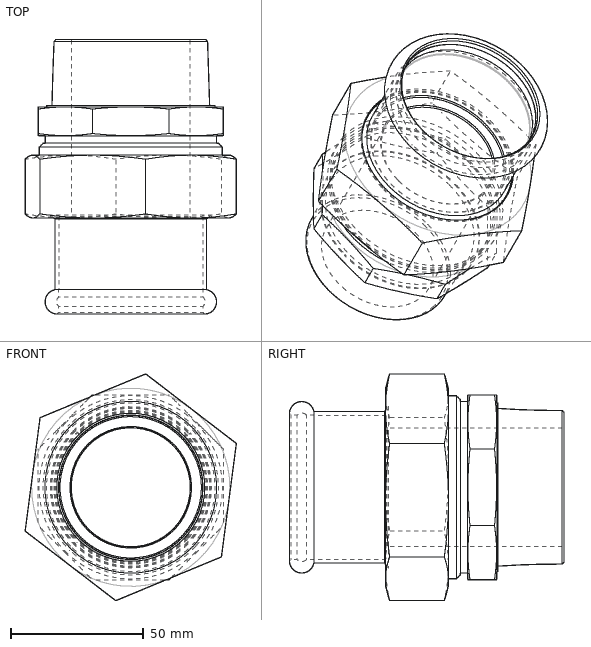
import cadquery as cq
import math

TOTAL_LENGTH = 104.0

TUBE_DIA = 57.5
BEAD_DIA = 65.0
BEAD_WIDTH = 9.4
SOCKET_DIA = 54.5
SOCKET_ENTRY_DIA = 54.7
SOCKET_DEPTH = 36.5
SOCKET_CORNER = 0.5
MOUTH_DIA = 56.0
MOUTH_LENGTH = 0.7
GROOVE_DIA = 56.2
GROOVE_START = 3.0
GROOVE_END = 6.5
ENTRY_END = 9.0
ENTRY_TAPER_LENGTH = 0.5

NUT_FLATS = 75.0
NUT_START = 36.4
NUT_WIDTH = 23.8
NUT_TURN = 22.5
NUT_CHAMFER_DIA = NUT_FLATS
NUT_CHAMFER_ANGLE = 15.0
NUT_HOLE_DIA = 61.0

FLARE_START = 36.0
FLARE_DIA = 60.4

RING_DIA = 69.4
RING_END = 64.7
RING_CHAMFER = 1.5
NECK_DIA = 65.0

OCTAGON_FLATS = 70.0
OCTAGON_START = 67.5
OCTAGON_WIDTH = 11.0
OCTAGON_TURN = 22.5
OCTAGON_CHAMFER_DIA = 69.4
OCTAGON_CHAMFER_ANGLE = 15.0
FACE_DIA = 63.8
FACE_HEIGHT = 0.5

THREAD_BASE_DIA = 59.8
THREAD_TAPER = 1.0 / 16.0
THREAD_CHAMFER = 0.8
BORE_DIA = 45.0
BORE_CHAMFER = 0.5

CORNER_MARGIN = 1.0

FLARE_END = FLARE_START + (FLARE_DIA - TUBE_DIA) / 2
NUT_END = NUT_START + NUT_WIDTH
OCTAGON_END = OCTAGON_START + OCTAGON_WIDTH
FACE_END = OCTAGON_END + FACE_HEIGHT


def revolve_profile(profile):
    """Turn a half profile, drawn as (radius, Y), about the Y axis."""
    return profile.close().revolve(360, (0, 0, 0), (0, 1, 0))


def cylinder(diameter, start, end):
    """Solid cylinder on the Y axis between two Y positions."""
    return cq.Workplane("XZ", origin=(0, start, 0)).circle(diameter / 2).extrude(start - end)


def chamfered_prism(sides, flats, start, width, turn, chamfer_dia, chamfer_angle):
    """Polygonal prism on the Y axis whose corners are cut back by a cone at both ends."""
    corner_dia = flats / math.cos(math.pi / sides)
    prism = (
        cq.Workplane("XZ", origin=(0, start, 0))
        .polygon(sides, corner_dia)
        .extrude(-width)
        .rotate((0, 0, 0), (0, 1, 0), -turn)
    )
    inner = chamfer_dia / 2
    outer = corner_dia / 2 + CORNER_MARGIN
    drop = (outer - inner) * math.tan(math.radians(chamfer_angle))
    end = start + width
    envelope = revolve_profile(
        cq.Workplane("XY")
        .moveTo(0, start)
        .lineTo(inner, start)
        .lineTo(outer, start + drop)
        .lineTo(outer, end - drop)
        .lineTo(inner, end)
        .lineTo(0, end)
    )
    return prism.intersect(envelope)


def make_socket_body():
    """Tube with its bead, and the cone where it enters the nut."""
    bead_radius = BEAD_WIDTH / 2
    bead_centre = BEAD_DIA / 2 - bead_radius
    bead = revolve_profile(
        cq.Workplane("XY")
        .moveTo(0, 0)
        .lineTo(bead_centre, 0)
        .threePointArc((BEAD_DIA / 2, bead_radius), (bead_centre, BEAD_WIDTH))
        .lineTo(0, BEAD_WIDTH)
    )
    tube = cylinder(TUBE_DIA, BEAD_WIDTH / 2, NUT_END)
    flare = revolve_profile(
        cq.Workplane("XY")
        .moveTo(0, FLARE_START)
        .lineTo(TUBE_DIA / 2, FLARE_START)
        .lineTo(FLARE_DIA / 2, FLARE_END)
        .lineTo(0, FLARE_END)
    )
    return bead.union(tube).union(flare)


def make_nut():
    """Hexagon nut with a clearance recess around the flared tube."""
    nut = chamfered_prism(
        6, NUT_FLATS, NUT_START, NUT_WIDTH, NUT_TURN, NUT_CHAMFER_DIA, NUT_CHAMFER_ANGLE
    )
    return nut.cut(cylinder(NUT_HOLE_DIA, NUT_START, FLARE_END))


def make_ring_and_neck():
    """Chamfered ring standing out of the nut, and the neck behind it."""
    ring = cylinder(RING_DIA, NUT_END, RING_END).faces(">Y").chamfer(RING_CHAMFER)
    return ring.union(cylinder(NECK_DIA, NUT_END, OCTAGON_START))


def make_tail():
    """Octagon, its raised face and the tapered thread envelope."""
    octagon = chamfered_prism(
        8, OCTAGON_FLATS, OCTAGON_START, OCTAGON_WIDTH, OCTAGON_TURN,
        OCTAGON_CHAMFER_DIA, OCTAGON_CHAMFER_ANGLE,
    )
    face = cylinder(FACE_DIA, OCTAGON_END, FACE_END)
    base_radius = THREAD_BASE_DIA / 2
    tip_radius = base_radius - (TOTAL_LENGTH - FACE_END) * THREAD_TAPER / 2
    thread = revolve_profile(
        cq.Workplane("XY")
        .moveTo(0, FACE_END)
        .lineTo(base_radius, FACE_END)
        .lineTo(tip_radius, TOTAL_LENGTH - THREAD_CHAMFER)
        .lineTo(tip_radius - THREAD_CHAMFER, TOTAL_LENGTH)
        .lineTo(0, TOTAL_LENGTH)
    )
    return octagon.union(face).union(thread)


def make_cavity():
    """Socket with its seal groove, and the bore through to the thread end."""
    socket_radius = SOCKET_DIA / 2
    entry_radius = SOCKET_ENTRY_DIA / 2
    groove_middle = (GROOVE_START + GROOVE_END) / 2
    socket = revolve_profile(
        cq.Workplane("XY")
        .moveTo(0, 0)
        .lineTo(MOUTH_DIA / 2, 0)
        .lineTo(entry_radius, MOUTH_LENGTH)
        .lineTo(entry_radius, GROOVE_START)
        .threePointArc((GROOVE_DIA / 2, groove_middle), (entry_radius, GROOVE_END))
        .lineTo(entry_radius, ENTRY_END)
        .lineTo(socket_radius, ENTRY_END + ENTRY_TAPER_LENGTH)
        .lineTo(socket_radius, SOCKET_DEPTH - SOCKET_CORNER)
        .lineTo(socket_radius - SOCKET_CORNER, SOCKET_DEPTH)
        .lineTo(0, SOCKET_DEPTH)
    )
    bore_radius = BORE_DIA / 2
    bore_mouth_radius = bore_radius + BORE_CHAMFER
    bore = revolve_profile(
        cq.Workplane("XY")
        .moveTo(0, 0)
        .lineTo(bore_mouth_radius, 0)
        .lineTo(bore_mouth_radius, SOCKET_DEPTH)
        .lineTo(bore_radius, SOCKET_DEPTH + BORE_CHAMFER)
        .lineTo(bore_radius, TOTAL_LENGTH)
        .lineTo(0, TOTAL_LENGTH)
    )
    return socket.union(bore)


result = (
    make_nut()
    .union(make_socket_body())
    .union(make_ring_and_neck())
    .union(make_tail())
    .cut(make_cavity())
)